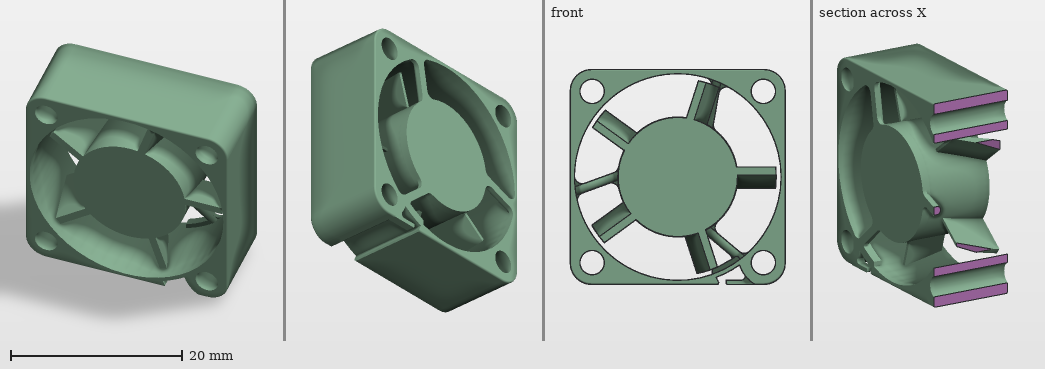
import cadquery as cq
import math

frame_side = 25.1
frame_depth = 10.12
corner_radius = 2.5
edge_fillet = 0.2
bore_radius = 12.05
screw_offset = 10.0
screw_diameter = 2.8
front_y = -frame_depth / 2
rear_y = frame_depth / 2
bottom_z = -frame_side / 2

plate_thickness = 1.0
stator_radius = 7.0
spoke_width = 1.0
spoke_count = 3
spoke_axis_offset = -2.54
first_spoke_angle = 80.0
spoke_fillet = 0.9
plate_front_y = rear_y - plate_thickness

wire_wall_radius = 12.55
exit_left_x = 4.5
exit_lip_x = 4.8
exit_lip_z = -12.32
exit_lip_foot_x = 4.7
boss_top_x = 7.2
boss_middle = (7.83, -11.47)
boss_foot_x = 9.04
tab_left_x = 5.65
tab_thickness = 0.53
tab_tip_chamfer = 0.13
tab_fillet = 0.4
pad_inner_radius = 11.47
pad_left_x = 4.02
pad_end_angle = -52.9
pad_corner_radius = 0.25

hub_radius = 6.95
hub_recess = 1.0
blade_count = 5
blade_tip_radius = 11.5
blade_thickness = 0.93
blade_top_z = 1.18
blade_depth = 6.02
blade_top_drop = 2.13
blade_bottom_drop = 1.6
hub_front_y = front_y + hub_recess


def plane_at(y):
    """XZ workplane at position y; extruding by +d grows toward -Y."""
    return cq.Workplane("XZ", origin=(0, y, 0))


def disc(radius, y_front, y_rear):
    return plane_at(y_rear).circle(radius).extrude(y_rear - y_front)


def point_on_circle(radius, x):
    """Point at abscissa x on the lower half of a circle about the fan axis."""
    return (x, -math.sqrt(radius**2 - x**2))


def polar(radius, angle):
    return (radius * math.cos(math.radians(angle)), radius * math.sin(math.radians(angle)))


def arc_middle(radius, start, end):
    """Middle of the arc about the fan axis between two points."""
    angle = (math.atan2(start[1], start[0]) + math.atan2(end[1], end[0])) / 2
    return polar(radius, math.degrees(angle))


def turn(body, angle):
    """Turn counter-clockwise about the fan axis as seen from the front."""
    return body.rotate((0, 0, 0), (0, -1, 0), angle)


def spoke_angle(i):
    return first_spoke_angle + i * 360 / spoke_count


def make_casing():
    casing = (
        plane_at(rear_y)
        .rect(frame_side, frame_side)
        .extrude(frame_depth)
        .edges("|Y")
        .fillet(corner_radius)
        .faces("<Y or >Y")
        .fillet(edge_fillet)
    )
    screw_holes = (
        plane_at(rear_y)
        .rect(2 * screw_offset, 2 * screw_offset, forConstruction=True)
        .vertices()
        .circle(screw_diameter / 2)
        .extrude(frame_depth)
    )
    return casing.cut(screw_holes).cut(disc(bore_radius, front_y, rear_y))


def make_wire_notch():
    """Opening between the bore wall, the bottom wall's lip and the corner screw boss."""
    wall_left = point_on_circle(wire_wall_radius, exit_left_x)
    wall_right = point_on_circle(wire_wall_radius, boss_top_x)
    return (
        plane_at(rear_y)
        .moveTo(*wall_left)
        .threePointArc(arc_middle(wire_wall_radius, wall_left, wall_right), wall_right)
        .threePointArc(boss_middle, (boss_foot_x, bottom_z))
        .lineTo(exit_lip_foot_x, bottom_z)
        .lineTo(exit_lip_x, exit_lip_z)
        .close()
        .extrude(frame_depth)
    )


def make_wire_tab():
    """Retaining tab across the rear end of the wire notch."""
    tab_top_z = bottom_z + tab_thickness
    root_x, root_z = boss_middle
    return (
        plane_at(rear_y)
        .moveTo(tab_left_x, tab_top_z)
        .lineTo(root_x - tab_fillet, tab_top_z)
        .radiusArc((root_x, tab_top_z + tab_fillet), -tab_fillet)
        .lineTo(root_x, root_z)
        .lineTo(screw_offset - screw_diameter / 2, root_z)
        .lineTo(boss_foot_x, bottom_z)
        .lineTo(tab_left_x + tab_tip_chamfer, bottom_z)
        .lineTo(tab_left_x, bottom_z + tab_tip_chamfer)
        .close()
        .extrude(plate_thickness)
    )


def make_wire_pad():
    """Thickening inside the bore beside the wire notch."""
    middle_radius = (bore_radius + wire_wall_radius) / 2
    inner_left = point_on_circle(pad_inner_radius, pad_left_x)
    inner_right = polar(pad_inner_radius, pad_end_angle)
    outer_left = point_on_circle(middle_radius, pad_left_x)
    corner_x, corner_z = inner_right
    inner_end_corner = cq.selectors.NearestToPointSelector(
        (corner_x, (plate_front_y + rear_y) / 2, corner_z))
    outer_right = polar(middle_radius, pad_end_angle)
    return (
        plane_at(rear_y)
        .moveTo(*inner_left)
        .threePointArc(arc_middle(pad_inner_radius, inner_left, inner_right), inner_right)
        .lineTo(*outer_right)
        .threePointArc(arc_middle(middle_radius, outer_left, outer_right), outer_left)
        .close()
        .extrude(plate_thickness)
        .edges(inner_end_corner)
        .fillet(pad_corner_radius)
    )


def make_stator_base(spoke_axis_y, rim_radius):
    """Flat rear half of hub plate, spokes and rim, filleted where the spokes meet hub and rim."""
    base = disc(rim_radius, spoke_axis_y, rear_y).cut(disc(bore_radius, spoke_axis_y, rear_y))
    base = base.union(disc(stator_radius, spoke_axis_y, rear_y))
    flat_bar = (
        plane_at(rear_y)
        .center(bore_radius / 2, spoke_axis_offset)
        .rect(bore_radius, spoke_width)
        .extrude(rear_y - spoke_axis_y)
        .intersect(disc(rim_radius, spoke_axis_y, rear_y))
    )
    for i in range(spoke_count):
        base = base.union(turn(flat_bar, spoke_angle(i)))
    inside_bore = cq.selectors.BoxSelector(
        (-bore_radius, front_y, -bore_radius), (bore_radius, rear_y, bore_radius))
    return base.edges("|Y").edges(inside_bore).fillet(spoke_fillet)


def make_stator():
    """Rear hub plate with round spokes lying on the flat base."""
    spoke_axis_y = rear_y - spoke_width / 2
    rim_radius = (bore_radius + frame_side / 2) / 2
    stator = make_stator_base(spoke_axis_y, rim_radius).union(disc(stator_radius, plate_front_y, rear_y))
    round_bar = (
        cq.Workplane("YZ")
        .center(spoke_axis_y, spoke_axis_offset)
        .circle(spoke_width / 2)
        .extrude(bore_radius)
    )
    for i in range(spoke_count):
        stator = stator.union(turn(round_bar, spoke_angle(i)))
    return stator


def make_frame():
    return (
        make_casing()
        .union(make_stator())
        .union(make_wire_pad())
        .cut(make_wire_notch())
        .union(make_wire_tab())
    )


def make_blade():
    """Leaning blade along +X, thinning toward the rear."""
    blade_rear_y = hub_front_y + blade_depth
    blade_bottom_z = blade_top_z - blade_thickness
    return (
        cq.Workplane("YZ")
        .polyline([
            (hub_front_y, blade_top_z),
            (blade_rear_y, blade_top_z - blade_top_drop),
            (blade_rear_y, blade_bottom_z - blade_bottom_drop),
            (hub_front_y, blade_bottom_z),
        ])
        .close()
        .extrude(blade_tip_radius)
        .intersect(disc(blade_tip_radius, front_y, rear_y))
    )


def make_rotor():
    rotor = disc(hub_radius, hub_front_y, plate_front_y)
    for i in range(blade_count):
        rotor = rotor.union(turn(make_blade(), i * 360 / blade_count))
    return rotor


frame = make_frame()
rotor = make_rotor()
result = cq.Compound.makeCompound([frame.solids().val(), rotor.solids().val()])